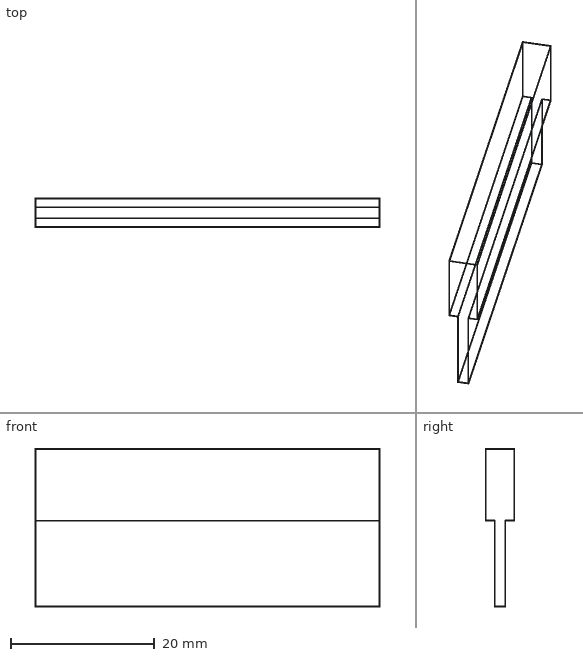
import cadquery as cq

length = 48.0
total_height = 22.0

head_thickness = 4.0
head_height = 10.0

blade_thickness = 1.5
blade_height = total_height - head_height


def make_head():
    """Upper bar, standing on top of the blade."""
    return (
        cq.Workplane("XY")
        .workplane(offset=blade_height)
        .rect(length, head_thickness)
        .extrude(head_height)
    )


def make_blade():
    """Full-length blade, with its lower edge at Z = 0."""
    return cq.Workplane("XY").rect(length, blade_thickness).extrude(blade_height)


result = make_head().union(make_blade())